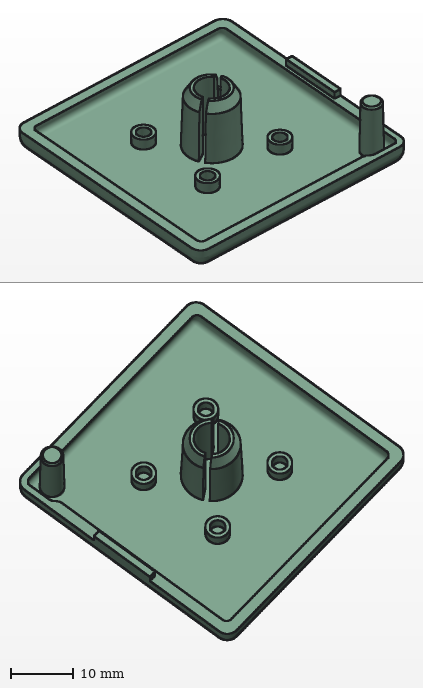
import cadquery as cq
import math

SIDE = 45.0
TRAY_HEIGHT = 4.0
CORNER_RADIUS = 2.0
UNDERSIDE_RADIUS = 2.5
WALL = 2.0
FLOOR_Z = 2.0
POCKET_CORNER_RADIUS = 1.0
FLOOR_FILLET = 1.0

RELIEF_WALL = 1.2
RELIEF_LENGTH = 5.0
BEND_INNER_RADIUS = 1.5
BEND_OUTER_RADIUS = 1.5

POST_TOP_Z = 13.5
POST_BASE_RADIUS = 5.0
POST_DRAFT = 2.0
POST_TIP_HEIGHT = 1.8
POST_TIP_RADIUS = 3.55
POST_BORE_DIAMETER = 5.8
SLIT_WIDTH = 1.1
SLIT_LENGTH = 12.0
SLIT_ANGLE = 30.0

PIN_CENTER = 18.25
PIN_TOP_Z = 12.0
PIN_BASE_RADIUS = 2.0
PIN_DRAFT = 1.0
PIN_TIP_HEIGHT = 0.4
PIN_TIP_RADIUS = 1.5

SLEEVE_DIAMETER = 4.0
SLEEVE_BORE = 2.5
SLEEVE_HEIGHT = 2.0
SLEEVE_CIRCLE_RADIUS = 11.0
SLEEVE_COUNT = 4

LEDGE_LENGTH = 11.8
LEDGE_THICKNESS = 1.3
LEDGE_HEIGHT = 1.3


def make_shell():
    """Solid square block with rounded corners and a rounded underside."""
    block = cq.Workplane("XY").rect(SIDE, SIDE).extrude(TRAY_HEIGHT)
    block = block.edges("|Z").fillet(CORNER_RADIUS)
    return block.faces("<Z").edges().fillet(UNDERSIDE_RADIUS)


def make_pocket():
    """Cutter for the pocket, stepping outwards around the corner pin."""
    inner = SIDE / 2 - WALL
    relief = SIDE / 2 - RELIEF_WALL
    step = relief - inner
    bend_angle = math.acos(1 - step / (BEND_INNER_RADIUS + BEND_OUTER_RADIUS))
    bend_end = relief - RELIEF_LENGTH
    bend_middle = bend_end - BEND_OUTER_RADIUS * math.sin(bend_angle)
    bend_start = bend_middle - BEND_INNER_RADIUS * math.sin(bend_angle)

    def inner_arc_point(angle):
        along = bend_start + BEND_INNER_RADIUS * math.sin(angle)
        return along, inner + BEND_INNER_RADIUS * (1 - math.cos(angle))

    def outer_arc_point(angle):
        along = bend_end - BEND_OUTER_RADIUS * math.sin(angle)
        return along, relief - BEND_OUTER_RADIUS * (1 - math.cos(angle))

    def mirrored(point):
        return point[1], point[0]

    half = bend_angle / 2
    pocket = (
        cq.Workplane("XY")
        .workplane(offset=FLOOR_Z)
        .moveTo(-inner, -inner)
        .lineTo(inner, -inner)
        .lineTo(inner, bend_start)
        .threePointArc(mirrored(inner_arc_point(half)), mirrored(inner_arc_point(bend_angle)))
        .threePointArc(mirrored(outer_arc_point(half)), (relief, bend_end))
        .lineTo(relief, relief)
        .lineTo(bend_end, relief)
        .threePointArc(outer_arc_point(half), inner_arc_point(bend_angle))
        .threePointArc(inner_arc_point(half), (bend_start, inner))
        .lineTo(-inner, inner)
        .close()
        .extrude(TRAY_HEIGHT - FLOOR_Z)
    )
    for x, y in [(-inner, -inner), (inner, -inner), (relief, relief), (-inner, inner)]:
        corner = cq.selectors.NearestToPointSelector((x, y, (FLOOR_Z + TRAY_HEIGHT) / 2))
        pocket = pocket.edges("|Z").edges(corner).fillet(POCKET_CORNER_RADIUS)
    return pocket.faces("<Z").edges().fillet(FLOOR_FILLET)


def make_tapered_stud(base_radius, draft, top_z, tip_height, tip_radius):
    """Drafted round stud rising from the floor, with a conical tip."""
    shoulder_z = top_z - tip_height
    shoulder_radius = base_radius - (shoulder_z - FLOOR_Z) * math.tan(math.radians(draft))
    profile = [
        (0, FLOOR_Z),
        (base_radius, FLOOR_Z),
        (shoulder_radius, shoulder_z),
        (tip_radius, top_z),
        (0, top_z),
    ]
    return cq.Workplane("XZ").polyline(profile).close().revolve(360, (0, 0, 0), (0, 1, 0))


def make_post():
    """Hollow post split in two by a slit that runs down to the floor."""
    height = POST_TOP_Z - FLOOR_Z
    floor = cq.Workplane("XY").workplane(offset=FLOOR_Z)
    post = make_tapered_stud(POST_BASE_RADIUS, POST_DRAFT, POST_TOP_Z, POST_TIP_HEIGHT, POST_TIP_RADIUS)
    bore = floor.circle(POST_BORE_DIAMETER / 2).extrude(height)
    slit = floor.rect(SLIT_WIDTH, SLIT_LENGTH).extrude(height)
    slit = slit.rotate((0, 0, 0), (0, 0, 1), SLIT_ANGLE)
    return post.cut(bore).cut(slit)


def make_pin():
    """Plain pin in the +X +Y corner."""
    pin = make_tapered_stud(PIN_BASE_RADIUS, PIN_DRAFT, PIN_TOP_Z, PIN_TIP_HEIGHT, PIN_TIP_RADIUS)
    return pin.translate((PIN_CENTER, PIN_CENTER, 0))


def make_sleeves():
    """Ring of short sleeves on the floor, one in each quadrant."""
    return (
        cq.Workplane("XY")
        .workplane(offset=FLOOR_Z)
        .polarArray(SLEEVE_CIRCLE_RADIUS, 360 / SLEEVE_COUNT / 2, 360, SLEEVE_COUNT)
        .circle(SLEEVE_DIAMETER / 2)
        .circle(SLEEVE_BORE / 2)
        .extrude(SLEEVE_HEIGHT)
    )


def make_ledge():
    """Straight bar on the rim, flush with the +Y side."""
    return (
        cq.Workplane("XY")
        .workplane(offset=TRAY_HEIGHT)
        .center(0, SIDE / 2 - LEDGE_THICKNESS / 2)
        .rect(LEDGE_LENGTH, LEDGE_THICKNESS)
        .extrude(LEDGE_HEIGHT)
    )


tray = make_shell().cut(make_pocket())
result = tray.union(make_post()).union(make_pin()).union(make_sleeves()).union(make_ledge())